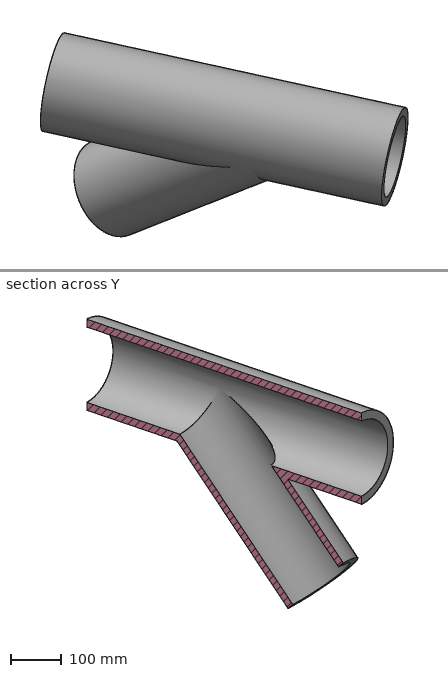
import cadquery as cq

outer_diameter = 200.0
bore_diameter = 164.0
run_length = 700.0
junction_from_left = 429.0
branch_length = 441.0
branch_angle = 45.0

run_plane = cq.Plane(origin=(-junction_from_left, 0, 0), xDir=(0, 1, 0), normal=(1, 0, 0))
branch_plane = cq.Plane(origin=(0, 0, 0), xDir=(0, 1, 0), normal=(-1, 0, 0)).rotated(
    (-branch_angle, 0, 0)
)


def both_cylinders(diameter):
    """Run and branch cylinders of one diameter, joined at the junction."""
    run = cq.Workplane(run_plane).circle(diameter / 2).extrude(run_length)
    branch = cq.Workplane(branch_plane).circle(diameter / 2).extrude(branch_length)
    return run.union(branch)


result = both_cylinders(outer_diameter).cut(both_cylinders(bore_diameter))